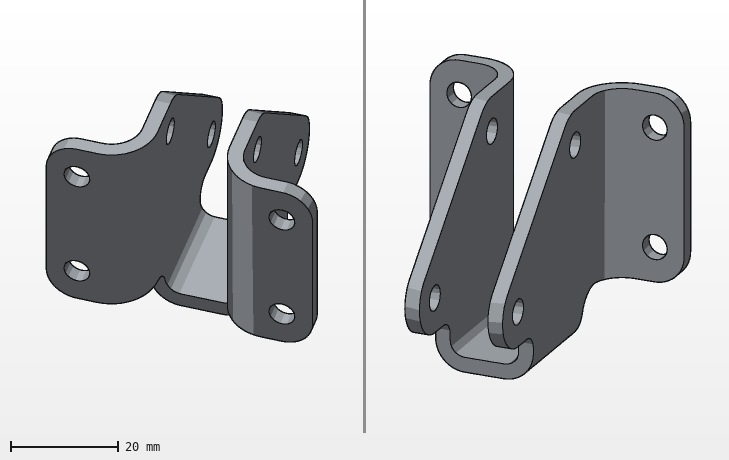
import cadquery as cq
import math

thickness = 3.0
overall_width = 52.0
overall_depth = 50.0
overall_height = 48.0
clevis_width = 20.0
plate_height = 38.0

flange_bend_inner = 6.0
flange_bend_outer = flange_bend_inner + thickness
base_bend_inner = 3.0
base_bend_outer = base_bend_inner + thickness

base_front = 14.0
base_back = 36.0
front_relief_radius = 6.0
back_relief_radius = 3.0

hole_diameter = 5.0
hole_edge_distance = 7.0
flange_hole_x = 20.0
flange_corner_radius = 6.0
upper_hole_y = 17.0
lug_radius = hole_edge_distance

outer_x = clevis_width / 2
inner_x = outer_x - thickness
flange_end_x = overall_width / 2
plate_bottom = overall_height - plate_height
upper_hole_z = overall_height - hole_edge_distance
lower_hole_z = plate_bottom + hole_edge_distance
lower_hole_y = overall_depth - lug_radius


def arc_point(center, radius, degrees):
    angle = math.radians(degrees)
    return (center[0] + radius * math.cos(angle), center[1] + radius * math.sin(angle))


def side_outline():
    """Block, as wide as half the part, with the side outline of the whole bracket."""
    upper_center = (upper_hole_y, upper_hole_z)
    lower_center = (lower_hole_y, lower_hole_z)
    slope = math.degrees(math.atan2(upper_hole_z - lower_hole_z, lower_hole_y - upper_hole_y))
    normal = 90 - slope
    front_relief_center = (base_front - front_relief_radius, plate_bottom - front_relief_radius)
    back_relief_center = (base_back + back_relief_radius, plate_bottom - back_relief_radius)
    return (
        cq.Workplane("YZ")
        .moveTo(0, plate_bottom)
        .lineTo(0, overall_height)
        .lineTo(upper_hole_y, overall_height)
        .threePointArc(
            arc_point(upper_center, lug_radius, (90 + normal) / 2),
            arc_point(upper_center, lug_radius, normal),
        )
        .lineTo(*arc_point(lower_center, lug_radius, normal))
        .threePointArc(
            arc_point(lower_center, lug_radius, (normal - 90) / 2),
            (lower_hole_y, plate_bottom),
        )
        .lineTo(back_relief_center[0], plate_bottom)
        .threePointArc(
            arc_point(back_relief_center, back_relief_radius, 135),
            (base_back, back_relief_center[1]),
        )
        .lineTo(base_back, 0)
        .lineTo(base_front, 0)
        .lineTo(base_front, front_relief_center[1])
        .threePointArc(
            arc_point(front_relief_center, front_relief_radius, 45),
            (front_relief_center[0], plate_bottom),
        )
        .close()
        .extrude(flange_end_x)
    )


def angle_sheet():
    """Right-hand side plate and flange as one bent sheet, down to the start of the base bend."""
    bend_center = (inner_x + flange_bend_outer, flange_bend_outer)
    return (
        cq.Workplane("XY")
        .workplane(offset=base_bend_outer)
        .moveTo(flange_end_x, 0)
        .lineTo(bend_center[0], 0)
        .threePointArc(arc_point(bend_center, flange_bend_outer, 225), (inner_x, bend_center[1]))
        .lineTo(inner_x, overall_depth)
        .lineTo(outer_x, overall_depth)
        .lineTo(outer_x, bend_center[1])
        .threePointArc(arc_point(bend_center, flange_bend_inner, 225), (bend_center[0], thickness))
        .lineTo(flange_end_x, thickness)
        .close()
        .extrude(overall_height - base_bend_outer)
    )


def base_sheet():
    """Right-hand half of the base channel: half the floor and one bend."""
    bend_center = (outer_x - base_bend_outer, base_bend_outer)
    return (
        cq.Workplane("XZ")
        .moveTo(0, 0)
        .lineTo(bend_center[0], 0)
        .threePointArc(arc_point(bend_center, base_bend_outer, -45), (outer_x, bend_center[1]))
        .lineTo(inner_x, bend_center[1])
        .threePointArc(arc_point(bend_center, base_bend_inner, -45), (bend_center[0], thickness))
        .lineTo(0, thickness)
        .close()
        .extrude(-overall_depth)
    )


def flange_holes():
    """Two mounting holes through the right-hand flange."""
    return (
        cq.Workplane("XZ")
        .pushPoints([(flange_hole_x, lower_hole_z), (flange_hole_x, upper_hole_z)])
        .circle(hole_diameter / 2)
        .extrude(-thickness)
    )


def side_plate_holes():
    """Two pin holes through the right-hand side plate."""
    return (
        cq.Workplane("YZ")
        .workplane(offset=inner_x)
        .pushPoints([(upper_hole_y, upper_hole_z), (lower_hole_y, lower_hole_z)])
        .circle(hole_diameter / 2)
        .extrude(thickness)
    )


outline = side_outline()
angle = angle_sheet().intersect(outline).edges("|Y and >X").fillet(flange_corner_radius)
base = base_sheet().intersect(outline)

half_bracket = angle.union(base).cut(flange_holes()).cut(side_plate_holes())
result = half_bracket.union(half_bracket.mirror("YZ"))